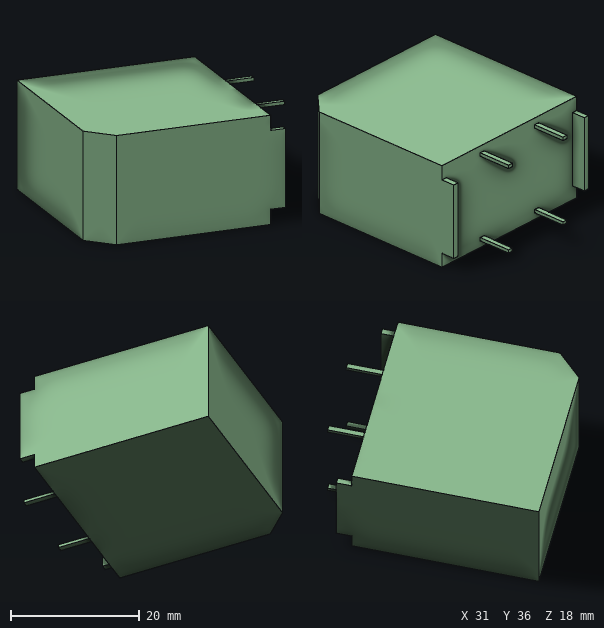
import cadquery as cq

body_width = 31.0
body_depth = 30.0
body_height = 18.0
corner_chamfer = 4.0

tab_thickness = 1.0
tab_length = 2.5
tab_height = 13.0

pin_width = 0.9
pin_thickness = 0.6
pin_length = 6.0
pin_pitch_x = 12.5
pin_pitch_z = 15.0


def make_housing():
    """Block centred on X and Z, rear face at Y = 0, with one chamfered front corner."""
    block = cq.Workplane("XY").box(body_width, body_depth, body_height)
    block = block.translate((0, -body_depth / 2, 0))
    return block.edges("|Z").edges(">X and <Y").chamfer(corner_chamfer)


def rear_bar(center_x, center_z, width, length, height):
    """Rectangular bar standing out of the rear face in +Y."""
    bar = cq.Workplane("XY").box(width, length, height)
    return bar.translate((center_x, length / 2, center_z))


result = make_housing()

for side in (-1, 1):
    tab_x = side * (body_width - tab_thickness) / 2
    result = result.union(rear_bar(tab_x, 0, tab_thickness, tab_length, tab_height))

for side in (-1, 1):
    for level in (-1, 1):
        pin_x = side * pin_pitch_x / 2
        pin_z = level * pin_pitch_z / 2
        result = result.union(rear_bar(pin_x, pin_z, pin_width, pin_length, pin_thickness))